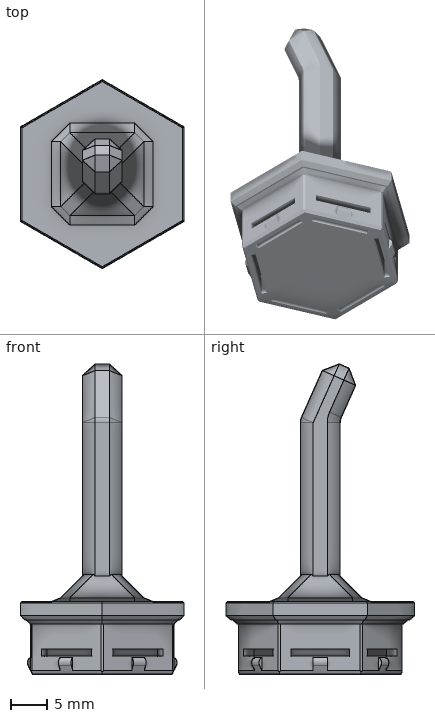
import cadquery as cq
import math

FLANGE_BOTTOM = 7.5
FLANGE_TOP = 10.0
BEND_HEIGHT = 35.0

BODY_FLATS = 19.7
BODY_CORNER_CHAMFER = 0.2
FLANGE_FLATS = 22.5
FLANGE_TOP_CHAMFER = 0.2
FLANGE_BOTTOM_CHAMFER = 0.6
NECK_CHAMFER = 0.6
LEAD_IN_HEIGHT = 0.5
LEAD_IN_INSET = 0.25

SIDE_COUNT = 6
SLOT_WIDTH = 8.0
SLOT_HEIGHT = 1.0
SLOT_DEPTH = 1.6
SLOT_BOTTOM = 2.5
CLIP_WIDTH = 2.0
CLIP_RAMP_TOP = 1.25
CLIP_NOSE_RADIUS = 0.8
TAB_THICKNESS = 0.9

POLE_WIDTH = 5.5
POLE_CHAMFER = 1.78
POLE_BEND_RADIUS = 1.8
POLE_TILT = 24.0
TIP_LENGTH = 8.11
PYRAMID_HALF_WIDTH = 6.25
PYRAMID_CORNER_CUT = 1.25
PYRAMID_FOOT_CHAMFER = 0.76


def hexagon(across_flats, height):
    """Horizontal hexagon with two of its corners on the Y axis."""
    diameter = across_flats / math.cos(math.pi / SIDE_COUNT)
    return (
        cq.Workplane("XY", origin=(0, 0, height))
        .transformed(rotate=(0, 0, 90))
        .polygon(SIDE_COUNT, diameter)
    )


def hexagon_taper(flats_below, height_below, flats_above, height_above):
    """Hexagonal frustum between two heights."""
    below = hexagon(flats_below, height_below).wires().vals()
    above = hexagon(flats_above, height_above).wires().vals()
    return cq.Workplane(cq.Solid.makeLoft(below + above, True))


def make_base():
    """Hexagonal body with a tapered lead-in below and a wider flange on top."""
    neck_bottom = FLANGE_BOTTOM - NECK_CHAMFER
    lead_in = hexagon_taper(BODY_FLATS - 2 * LEAD_IN_INSET, 0, BODY_FLATS, LEAD_IN_HEIGHT)
    body = hexagon(BODY_FLATS, LEAD_IN_HEIGHT).extrude(FLANGE_BOTTOM - LEAD_IN_HEIGHT)
    corner_trim = (
        hexagon(BODY_FLATS, 0)
        .extrude(FLANGE_BOTTOM)
        .edges("|Z")
        .chamfer(BODY_CORNER_CHAMFER)
    )
    neck = hexagon_taper(BODY_FLATS, neck_bottom, BODY_FLATS + 2 * NECK_CHAMFER, FLANGE_BOTTOM)
    flange = (
        hexagon(FLANGE_FLATS, FLANGE_BOTTOM)
        .extrude(FLANGE_TOP - FLANGE_BOTTOM)
        .faces(">Z").edges().chamfer(FLANGE_TOP_CHAMFER)
        .faces("<Z").edges().chamfer(FLANGE_BOTTOM_CHAMFER)
    )
    return lead_in.union(body).intersect(corner_trim).union(neck).union(flange)


def make_slot():
    """Cutter on the +X side: a slot above the clip and a gap that frees the clip's tab behind."""
    slot_back = BODY_FLATS / 2 - SLOT_DEPTH
    slot = cq.Workplane("XY").box(
        SLOT_DEPTH, SLOT_WIDTH, SLOT_HEIGHT, centered=(False, True, False)
    )
    gap = cq.Workplane("XY").box(
        SLOT_DEPTH - TAB_THICKNESS, SLOT_WIDTH, SLOT_BOTTOM, centered=(False, True, False)
    )
    return slot.translate((slot_back, 0, SLOT_BOTTOM)).union(gap.translate((slot_back, 0, 0)))


def make_clip():
    """Snap clip on the +X side: a ramp in line with the lead-in taper, then a round nose."""
    side = BODY_FLATS / 2
    root = side - TAB_THICKNESS / 2
    ramp_angle = math.atan2(LEAD_IN_INSET, LEAD_IN_HEIGHT)
    ramp_top = side - LEAD_IN_INSET + CLIP_RAMP_TOP * math.tan(ramp_angle)
    nose_x = ramp_top - CLIP_NOSE_RADIUS * math.cos(ramp_angle)
    nose_z = CLIP_RAMP_TOP + CLIP_NOSE_RADIUS * math.sin(ramp_angle)
    return (
        cq.Workplane("XZ")
        .moveTo(root, 0)
        .lineTo(side - LEAD_IN_INSET, 0)
        .lineTo(ramp_top, CLIP_RAMP_TOP)
        .threePointArc((nose_x + CLIP_NOSE_RADIUS, nose_z), (nose_x, nose_z + CLIP_NOSE_RADIUS))
        .lineTo(root, nose_z + CLIP_NOSE_RADIUS)
        .close()
        .extrude(CLIP_WIDTH / 2, both=True)
    )


def cut_square(half_width, corner_cut, height):
    """Wire of a square whose corners are cut off at 45 degrees."""
    flat_end = half_width - corner_cut
    points = []
    for x_sign, y_sign in ((1, 1), (-1, 1), (-1, -1), (1, -1)):
        along_x = (x_sign * flat_end, y_sign * half_width, height)
        along_y = (x_sign * half_width, y_sign * flat_end, height)
        points += [along_y, along_x] if x_sign == y_sign else [along_x, along_y]
    return cq.Wire.makePolygon([cq.Vector(*point) for point in points], close=True)


def make_pyramid():
    """45 degree pyramid with cut corners and a flatter chamfer around its foot."""
    chamfer_rise = PYRAMID_FOOT_CHAMFER / math.sqrt(2)
    break_height = FLANGE_TOP + chamfer_rise
    break_half_width = PYRAMID_HALF_WIDTH - chamfer_rise
    foot_half_width = PYRAMID_HALF_WIDTH + PYRAMID_FOOT_CHAMFER
    foot_cut = PYRAMID_CORNER_CUT + foot_half_width - break_half_width
    top_half_width = POLE_WIDTH / 2 - PYRAMID_CORNER_CUT / 2
    top_height = FLANGE_TOP + PYRAMID_HALF_WIDTH - top_half_width

    foot = cut_square(foot_half_width, foot_cut, FLANGE_TOP)
    slope_break = cut_square(break_half_width, PYRAMID_CORNER_CUT, break_height)
    top = cut_square(top_half_width, PYRAMID_CORNER_CUT, top_height)
    skirt = cq.Solid.makeLoft([foot, slope_break], True)
    slope = cq.Solid.makeLoft([slope_break, top], True)
    return cq.Workplane(skirt).union(cq.Workplane(slope))


def make_pole():
    """Square pole bent towards +Y, with its long edges and its tip chamfered."""
    tilt = math.radians(POLE_TILT)
    half_width = POLE_WIDTH / 2
    tip_half_width = half_width * math.cos(tilt)
    tip_y = TIP_LENGTH * math.sin(tilt)
    tip_z = BEND_HEIGHT + TIP_LENGTH * math.cos(tilt)
    tip_step_y = tip_half_width * math.cos(tilt)
    tip_step_z = tip_half_width * math.sin(tilt)
    pole = (
        cq.Workplane("YZ")
        .polyline([
            (-half_width, FLANGE_TOP),
            (-half_width, BEND_HEIGHT),
            (tip_y - tip_step_y, tip_z + tip_step_z),
            (tip_y + tip_step_y, tip_z - tip_step_z),
            (half_width, BEND_HEIGHT),
            (half_width, FLANGE_TOP),
        ])
        .close()
        .extrude(half_width, both=True)
    )
    bend_box = cq.selectors.BoxSelector(
        (-half_width, -POLE_WIDTH, BEND_HEIGHT - POLE_BEND_RADIUS),
        (half_width, POLE_WIDTH, BEND_HEIGHT + POLE_BEND_RADIUS),
    )
    pole = pole.edges("|X").edges(bend_box).fillet(POLE_BEND_RADIUS)
    tip_direction = cq.Vector(0, math.sin(tilt), math.cos(tilt))
    tip_edges = pole.faces(cq.selectors.DirectionMinMaxSelector(tip_direction)).edges()
    long_edges = pole.faces("<X or >X").edges().edges("not <Z")
    return long_edges.add(tip_edges).chamfer(POLE_CHAMFER)


slot = make_slot()
clip = make_clip()
result = make_base().union(make_pyramid()).union(make_pole())
for side_index in range(SIDE_COUNT):
    turn = side_index * 360 / SIDE_COUNT
    result = result.cut(slot.rotate((0, 0, 0), (0, 0, 1), turn))
    result = result.union(clip.rotate((0, 0, 0), (0, 0, 1), turn))